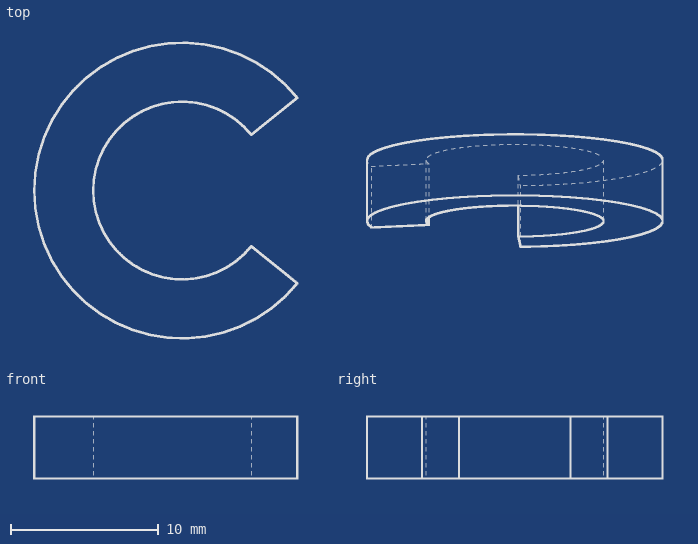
import cadquery as cq
import math

outer_radius = 10.0
inner_radius = 6.0
thickness = 4.2
half_gap_angle = 38.8


def point_on_circle(radius, angle):
    """Point at the given polar angle, measured from +X about the ring centre."""
    radians = math.radians(angle)
    return (radius * math.cos(radians), radius * math.sin(radians))


def open_ring():
    """Flat C-shaped ring with its gap centred on +X and radial end faces."""
    return (
        cq.Workplane("XY")
        .moveTo(*point_on_circle(outer_radius, half_gap_angle))
        .threePointArc((-outer_radius, 0), point_on_circle(outer_radius, -half_gap_angle))
        .lineTo(*point_on_circle(inner_radius, -half_gap_angle))
        .threePointArc((-inner_radius, 0), point_on_circle(inner_radius, half_gap_angle))
        .close()
        .extrude(thickness)
    )


result = open_ring()